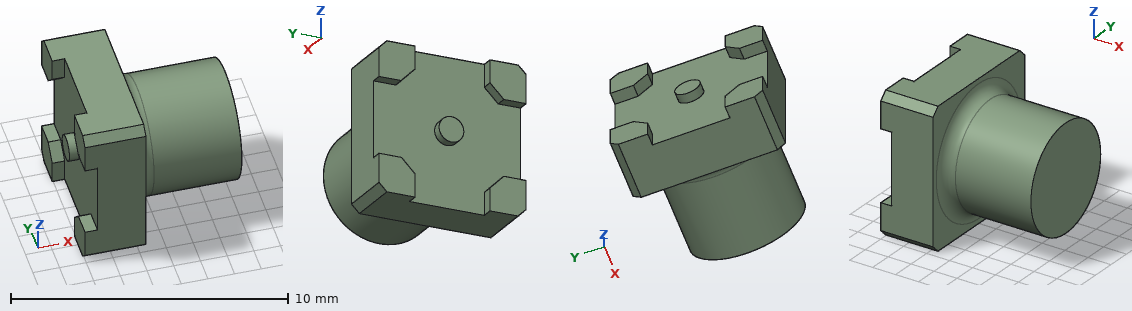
import cadquery as cq

total_length = 6.07
plate_width = 5.9
corner_chamfer = 0.315

foot_height = 0.47
shoulder_x = 2.28
foot_gap = 3.0
foot_chamfer = 0.55
foot_size = (plate_width - foot_gap) / 2
foot_offset = (plate_width - foot_size) / 2

barrel_diameter = 4.5
barrel_fillet = 0.5
pin_diameter = 0.99
pin_tip_x = 0.1


def make_plate():
    """Square plate with chamfered corners, behind the feet."""
    thickness = shoulder_x - foot_height
    plate = cq.Workplane("YZ", origin=(foot_height, 0, 0)).rect(plate_width, plate_width)
    return plate.extrude(thickness).edges("|X").chamfer(corner_chamfer)


def make_foot(y_side, z_side):
    """Corner foot chamfered on its outermost and innermost edges."""
    center = (0, y_side * foot_offset, z_side * foot_offset)
    foot = cq.Workplane("YZ", origin=center).rect(foot_size, foot_size).extrude(foot_height)
    diagonal = cq.Vector(0, y_side, z_side)
    outermost = cq.selectors.DirectionMinMaxSelector(diagonal, True)
    innermost = cq.selectors.DirectionMinMaxSelector(diagonal, False)
    foot = foot.edges("|X").edges(outermost).chamfer(corner_chamfer)
    return foot.edges("|X").edges(innermost).chamfer(foot_chamfer)


def make_barrel():
    """Solid barrel flaring into the plate through a concave fillet."""
    radius = barrel_diameter / 2
    profile = (
        cq.Workplane("XY")
        .moveTo(shoulder_x, 0)
        .lineTo(shoulder_x, radius + barrel_fillet)
        .radiusArc((shoulder_x + barrel_fillet, radius), -barrel_fillet)
        .lineTo(total_length, radius)
        .lineTo(total_length, 0)
        .close()
    )
    return profile.revolve(360, (0, 0, 0), (1, 0, 0))


def make_pin():
    """Round contact pin between the feet."""
    pin = cq.Workplane("YZ", origin=(pin_tip_x, 0, 0)).circle(pin_diameter / 2)
    return pin.extrude(foot_height - pin_tip_x)


result = make_plate().union(make_barrel()).union(make_pin())
for y_side in (-1, 1):
    for z_side in (-1, 1):
        result = result.union(make_foot(y_side, z_side))